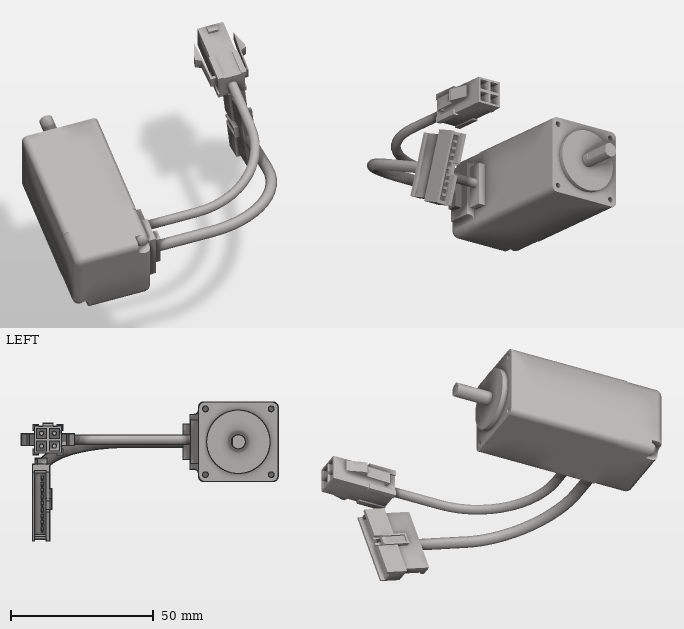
import cadquery as cq
import math


FRAME = 28.0
HALF_FRAME = FRAME / 2
HOUSING_LENGTH = 45.3
HOUSING_CORNER = 2.0
BOSS_DIAMETER = 22.2
BOSS_LENGTH = 1.9
SCREW_PITCH = 23.0
MOUNT_HOLE_DIAMETER = 2.0
MOUNT_HOLE_DEPTH = 2.5

SHAFT_DIAMETER = 5.0
SHAFT_TIP_X = -15.05
FLAT_END_X = -5.0
FLAT_DEPTH = 0.4

LUG_SIDE = 4.5
LUG_LENGTH = 2.7
LUG_START_X = HOUSING_LENGTH - LUG_LENGTH
SCREW_CORNERS = [(1, 1), (-1, -1)]

BASE_END_X = 53.2
COVER_END_X = 59.2
ENCODER_CORNER = 2.7
COVER_EDGE_RADIUS = 2.3
POCKET_X = 54.8
POCKET_SIDE = 4.8
SCREW_HEAD_RADIUS = 2.3
SCREW_RIM_HEIGHT = 0.9
SCREW_HEAD_HEIGHT = 2.1
OUTLET_HEIGHT = 19.3
OUTLET_TOP_Y = 17.0
OUTLET_FILLET = 1.6
SELECT_MARGIN = 0.1

MOTOR_CABLE_DIAMETER = 3.4
MOTOR_CABLE_X = 41.5
MOTOR_CABLE_Z = 0.7
MOTOR_CABLE_BEND_Y = 36.5
GROMMET_WIDTH = 5.1
GROMMET_HEIGHT = 15.3
GROMMET_TOP_Y = 16.7

POWER_FRONT_X = -32.6
POWER_REAR_X = -8.5
POWER_Y = 66.7
POWER_SIDE = 9.45
RAIL_WIDTH = 2.0
RAIL_LENGTH = 10.3
RAIL_LIFT = 0.55
CELL_SIDE = 3.5
CELL_PITCH = 4.5
CELL_DEPTH = 9.2
PIN_DIAMETER = 1.5
PIN_LENGTH = 4.6
KEY_WIDTH = 3.6
KEY_PEAK = 2.4
KEY_LENGTH = 3.5
KEY_HEIGHT = 1.1
ARM_WIDTH = 4.2
ARM_THICKNESS = 0.55
ARM_REAR_X = -11.6
ARM_POST = 1.1
ARM_REAR_OFFSET = 7.0
ARM_FRONT_OFFSET = 7.3
BARB_TIP_X = -28.8
BARB_PEAK_X = -22.6
BARB_PEAK_LENGTH = 1.1
BARB_REAR_X = -20.65
BARB_PEAK_OFFSET = 9.4

TILT = 20.0
ENCODER_CABLE_DIAMETER = 4.0
ENCODER_CABLE_X = 50.8
ENCODER_BEND_RADIUS = 29.9
ENCODER_BEND_Y = 39.2
RELIEF_HEIGHT = 12.5
RELIEF_TOP_Y = 19.5

PLUG_CENTRE = (-13.95, 69.1, -22.7)
PLUG_WIDTH = 25.8
PLUG_THICKNESS = 6.15
PLUG_LENGTH = 8.1
REAR_WIDTH = 22.85
REAR_LENGTH = 10.2
REAR_LOW_Y = -2.1
REAR_HIGH_Y = 1.2
REAR_FLANGE_Y = 2.2
REAR_FLANGE_LENGTH = 1.5
CAVITY_DEPTH = 3.9
CAVITY_THICKNESS = 4.0
NEAR_WALL = 1.3
END_WALL = 1.1
END_SETBACK = 1.65
CONTACTS = 9
CONTACT_PITCH = 2.4
CONTACT_SIDE = 0.9
CONTACT_Y = -0.4
CONTACT_TIP = 0.4
CONTACT_TIP_X = 0.9
LATCH_WIDTH = 4.1
LATCH_END = 12.6
LATCH_SLOT = 2.7
LATCH_HEIGHT = 0.7
LATCH_RIM = 0.6


def block(x, y, z):
    """Box between the given (low, high) pairs along each axis."""
    size = [high - low for low, high in (x, y, z)]
    return cq.Workplane("XY").box(*size, centered=False).translate((x[0], y[0], z[0]))


def centred(middle, size):
    """Low and high end of a range of the given size around its middle."""
    return (middle - size / 2, middle + size / 2)


def corner_block(x, side, sign_y, sign_z):
    """Square block in one outer corner of the frame."""
    y = sorted((sign_y * HALF_FRAME, sign_y * (HALF_FRAME - side)))
    z = sorted((sign_z * HALF_FRAME, sign_z * (HALF_FRAME - side)))
    return block(x, y, z)


def frame_block(x_start, x_end, corner_radius):
    """Square motor section with rounded corners."""
    frame = (-HALF_FRAME, HALF_FRAME)
    return block((x_start, x_end), frame, frame).edges("|X").fillet(corner_radius)


def output_shaft():
    radius = SHAFT_DIAMETER / 2
    shaft = cq.Workplane("YZ").circle(radius).extrude(SHAFT_TIP_X)
    flat = block((SHAFT_TIP_X, FLAT_END_X), (radius - FLAT_DEPTH, radius), (-radius, radius))
    return shaft.cut(flat)


def make_housing():
    body = frame_block(0, HOUSING_LENGTH, HOUSING_CORNER)
    boss = cq.Workplane("YZ").circle(BOSS_DIAMETER / 2).extrude(-BOSS_LENGTH)
    holes = (
        cq.Workplane("YZ")
        .rect(SCREW_PITCH, SCREW_PITCH, forConstruction=True)
        .vertices()
        .circle(MOUNT_HOLE_DIAMETER / 2)
        .extrude(MOUNT_HOLE_DEPTH)
    )
    body = body.union(boss).cut(holes)
    for sign_y, sign_z in SCREW_CORNERS:
        recess = corner_block((LUG_START_X, HOUSING_LENGTH), LUG_SIDE, sign_y, sign_z)
        body = body.cut(recess)
    return body.union(output_shaft())


def make_lug(sign_y, sign_z):
    """Corner lug, flush with the frame and rounded like the encoder base."""
    profile = frame_block(LUG_START_X, HOUSING_LENGTH, ENCODER_CORNER)
    lug = corner_block((LUG_START_X, HOUSING_LENGTH), LUG_SIDE, sign_y, sign_z)
    return lug.intersect(profile)


def add_outlet(body, x_start, x_end):
    """Add a slice of the cable outlet; its foot flares into the frame with concave fillets."""
    half = OUTLET_HEIGHT / 2
    joined = body.union(block((x_start, x_end), (0, OUTLET_TOP_Y), (-half, half)))
    foot = cq.selectors.BoxSelector(
        (x_start, HALF_FRAME - SELECT_MARGIN, -half - SELECT_MARGIN),
        (x_end + SELECT_MARGIN, HALF_FRAME + SELECT_MARGIN, half + SELECT_MARGIN),
    )
    return joined.edges(foot).fillet(OUTLET_FILLET)


def make_encoder_base():
    base = frame_block(HOUSING_LENGTH, BASE_END_X, ENCODER_CORNER)
    return add_outlet(base, HOUSING_LENGTH, BASE_END_X)


def screw_head(sign_y, sign_z):
    """Screw head with a straight rim and a domed crown, on the floor of a corner pocket."""
    dome_height = SCREW_HEAD_HEIGHT - SCREW_RIM_HEIGHT
    dome_middle = (SCREW_RIM_HEIGHT + dome_height * math.sqrt(0.5), SCREW_HEAD_RADIUS * math.sqrt(0.5))
    head = (
        cq.Workplane("XY")
        .lineTo(0, SCREW_HEAD_RADIUS)
        .lineTo(SCREW_RIM_HEIGHT, SCREW_HEAD_RADIUS)
        .threePointArc(dome_middle, (SCREW_HEAD_HEIGHT, 0))
        .close()
        .revolve(360, (0, 0, 0), (1, 0, 0))
    )
    return head.translate((POCKET_X, sign_y * SCREW_PITCH / 2, sign_z * SCREW_PITCH / 2))


def make_encoder_cover():
    cover = frame_block(BASE_END_X, COVER_END_X, ENCODER_CORNER)
    cover = cover.faces(">X").edges().fillet(COVER_EDGE_RADIUS)
    cover = add_outlet(cover, BASE_END_X, POCKET_X)
    for sign_y, sign_z in SCREW_CORNERS:
        pocket = corner_block((POCKET_X, COVER_END_X), POCKET_SIDE, sign_y, sign_z)
        inner_y = "<Y" if sign_y > 0 else ">Y"
        inner_z = "<Z" if sign_z > 0 else ">Z"
        pocket = pocket.faces(inner_y).edges(inner_z).fillet(POCKET_SIDE - ENCODER_CORNER)
        cover = cover.cut(pocket).union(screw_head(sign_y, sign_z))
    return cover


def make_cable(start, bend_y, end_y, out_length, diameter):
    """Round cable along +Y that turns by a quarter circle to -X and runs straight on."""
    x, y, z = start
    radius = end_y - bend_y
    middle = radius * math.sqrt(0.5)
    path = (
        cq.Workplane("XY", origin=(x, 0, z))
        .moveTo(0, y)
        .lineTo(0, bend_y)
        .threePointArc((middle - radius, bend_y + middle), (-radius, end_y))
        .lineTo(-radius - out_length, end_y)
    )
    return cq.Workplane("XZ", origin=start).circle(diameter / 2).sweep(path)


def make_motor_cable():
    bend_end_x = MOTOR_CABLE_X - (POWER_Y - MOTOR_CABLE_BEND_Y)
    cable = make_cable(
        (MOTOR_CABLE_X, GROMMET_TOP_Y, MOTOR_CABLE_Z),
        MOTOR_CABLE_BEND_Y,
        POWER_Y,
        bend_end_x - POWER_REAR_X,
        MOTOR_CABLE_DIAMETER,
    )
    grommet = block(
        centred(MOTOR_CABLE_X, GROMMET_WIDTH),
        (HALF_FRAME, GROMMET_TOP_Y),
        centred(0, GROMMET_HEIGHT),
    )
    return cable.union(grommet)


def make_encoder_cable():
    """Cable with a strain relief of its own width, its bend tilted down to the connector."""
    tilt = math.radians(TILT)
    along_x = (ENCODER_CABLE_X - PLUG_CENTRE[0]) * math.cos(tilt)
    along_z = -PLUG_CENTRE[2] * math.sin(tilt)
    out_length = along_x + along_z - ENCODER_BEND_RADIUS - PLUG_LENGTH - REAR_LENGTH
    cable = make_cable(
        (ENCODER_CABLE_X, RELIEF_TOP_Y, 0),
        ENCODER_BEND_Y,
        ENCODER_BEND_Y + ENCODER_BEND_RADIUS,
        out_length,
        ENCODER_CABLE_DIAMETER,
    )
    cable = cable.rotate((ENCODER_CABLE_X, 0, 0), (ENCODER_CABLE_X, 1, 0), -TILT)
    relief = block(
        centred(ENCODER_CABLE_X, ENCODER_CABLE_DIAMETER),
        (OUTLET_TOP_Y, RELIEF_TOP_Y),
        centred(0, RELIEF_HEIGHT),
    )
    return cable.union(relief)


def make_latch_arm():
    """Side latch arm on the +Y side of a connector centred on Y = 0, Z = 0."""
    return (
        cq.Workplane("XY")
        .workplane(offset=-ARM_WIDTH / 2)
        .moveTo(ARM_REAR_X, POWER_SIDE / 2)
        .lineTo(ARM_REAR_X, ARM_REAR_OFFSET)
        .lineTo(BARB_REAR_X, ARM_FRONT_OFFSET)
        .lineTo(BARB_PEAK_X + BARB_PEAK_LENGTH, BARB_PEAK_OFFSET)
        .lineTo(BARB_PEAK_X, BARB_PEAK_OFFSET)
        .lineTo(BARB_TIP_X, ARM_FRONT_OFFSET)
        .lineTo(BARB_REAR_X, ARM_FRONT_OFFSET - ARM_THICKNESS)
        .lineTo(ARM_REAR_X - ARM_POST, ARM_REAR_OFFSET - ARM_THICKNESS)
        .lineTo(ARM_REAR_X - ARM_POST, POWER_SIDE / 2)
        .close()
        .extrude(ARM_WIDTH)
    )


def make_power_connector():
    half = POWER_SIDE / 2
    body = block((POWER_FRONT_X, POWER_REAR_X), (-half, half), (-half, half))

    rail_middle = half + RAIL_LIFT - RAIL_WIDTH / 2
    for sign_y in (-1, 1):
        for sign_z in (-1, 1):
            rail = block(
                (POWER_REAR_X - RAIL_LENGTH, POWER_REAR_X),
                centred(sign_y * rail_middle, RAIL_WIDTH),
                centred(sign_z * rail_middle, RAIL_WIDTH),
            )
            body = body.union(rail)

    key = (
        cq.Workplane("XZ")
        .workplane(offset=-KEY_WIDTH / 2)
        .moveTo(POWER_FRONT_X, half)
        .lineTo(POWER_FRONT_X + KEY_PEAK, half + KEY_HEIGHT)
        .lineTo(POWER_FRONT_X + KEY_LENGTH, half + KEY_HEIGHT)
        .lineTo(POWER_FRONT_X + KEY_LENGTH, half)
        .close()
        .extrude(KEY_WIDTH)
    )
    body = body.union(key)

    arm = make_latch_arm()
    body = body.union(arm).union(arm.mirror("XZ"))

    front = cq.Workplane("YZ").workplane(offset=POWER_FRONT_X)
    cells = front.rarray(CELL_PITCH, CELL_PITCH, 2, 2).rect(CELL_SIDE, CELL_SIDE).extrude(CELL_DEPTH)
    pins = (
        front.workplane(offset=CELL_DEPTH - PIN_LENGTH)
        .rarray(CELL_PITCH, CELL_PITCH, 2, 2)
        .circle(PIN_DIAMETER / 2)
        .extrude(PIN_LENGTH)
    )
    return body.cut(cells).union(pins).translate((0, POWER_Y, MOTOR_CABLE_Z))


def plug_contact():
    """Contact blade that narrows towards its tip."""
    return (
        cq.Workplane("XY")
        .workplane(offset=-CONTACT_SIDE / 2)
        .moveTo(CAVITY_DEPTH, -CONTACT_SIDE / 2)
        .lineTo(CAVITY_DEPTH, CONTACT_SIDE / 2)
        .lineTo(CONTACT_TIP_X, CONTACT_TIP / 2)
        .lineTo(CONTACT_TIP_X, -CONTACT_TIP / 2)
        .close()
        .extrude(CONTACT_SIDE)
    )


def make_encoder_connector():
    half_width = PLUG_WIDTH / 2
    near_y = -PLUG_THICKNESS / 2
    rear_x = PLUG_LENGTH + REAR_LENGTH
    rear_z = centred(0, REAR_WIDTH)
    body = block((0, PLUG_LENGTH), centred(0, PLUG_THICKNESS), centred(0, PLUG_WIDTH))
    body = body.union(block((PLUG_LENGTH, rear_x), (REAR_LOW_Y, REAR_HIGH_Y), rear_z))
    body = body.union(block((rear_x - REAR_FLANGE_LENGTH, rear_x), (REAR_LOW_Y, REAR_FLANGE_Y), rear_z))

    cavity_y = (near_y + NEAR_WALL, near_y + NEAR_WALL + CAVITY_THICKNESS)
    body = body.cut(block((0, CAVITY_DEPTH), cavity_y, centred(0, PLUG_WIDTH - 2 * END_WALL)))
    body = body.cut(block((0, END_SETBACK), cavity_y, (-half_width, half_width)))

    contact = plug_contact()
    for i in range(CONTACTS):
        contact_z = (i - (CONTACTS - 1) / 2) * CONTACT_PITCH
        body = body.union(contact.translate((0, CONTACT_Y, contact_z)))

    body = body.cut(block((0, LATCH_SLOT), (near_y, cavity_y[0]), centred(0, LATCH_WIDTH)))
    rim_y = (near_y - LATCH_HEIGHT, REAR_LOW_Y)
    rim = block((LATCH_SLOT, LATCH_END), rim_y, centred(0, LATCH_WIDTH))
    rim_opening = block(
        (LATCH_SLOT, LATCH_END - LATCH_RIM),
        (near_y - LATCH_HEIGHT, near_y),
        centred(0, LATCH_WIDTH - 2 * LATCH_RIM),
    )
    body = body.union(rim.cut(rim_opening))

    return body.rotate((0, 0, 0), (0, 1, 0), -TILT).translate(PLUG_CENTRE)


housing = make_housing()
lugs = [make_lug(sign_y, sign_z) for sign_y, sign_z in SCREW_CORNERS]
encoder_base = make_encoder_base()
encoder_cover = make_encoder_cover()
motor_cable = make_motor_cable()
power_connector = make_power_connector()
encoder_cable = make_encoder_cable()
encoder_connector = make_encoder_connector()

result = cq.Compound.makeCompound([
    housing.val(),
    *[lug.val() for lug in lugs],
    encoder_base.val(),
    encoder_cover.val(),
    motor_cable.val(),
    power_connector.val(),
    encoder_cable.val(),
    encoder_connector.val(),
])